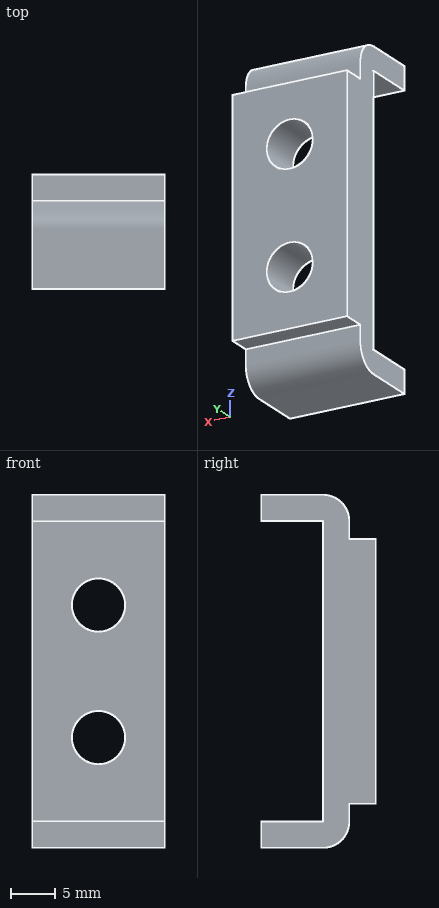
import cadquery as cq

width = 15.0
depth = 13.0
height = 40.0

wall = 3.0
bend_radius = 3.0
pad_height = 30.0
pad_thickness = 3.0

hole_diameter = 6.0
hole_spacing = 15.0

channel_depth = depth - pad_thickness


def make_channel():
    """C-shaped channel, open toward -Y, with rounded outer bends at the back."""
    blank = cq.Workplane("XY").box(width, channel_depth, height, centered=(True, False, True))
    blank = blank.edges("|X and >Y").fillet(bend_radius)
    recess = cq.Workplane("XY").box(
        width, channel_depth - wall, height - 2 * wall, centered=(True, False, True)
    )
    return blank.cut(recess)


def make_pad():
    """Rectangular pad on the back face of the channel."""
    pad = cq.Workplane("XY").box(width, pad_thickness, pad_height, centered=(True, False, True))
    return pad.translate((0, channel_depth, 0))


def make_holes():
    """Two cylinders along Y that pass through the web and the pad."""
    return (
        cq.Workplane("XZ")
        .rarray(0.4, hole_spacing, 1, 2)
        .circle(hole_diameter / 2)
        .extrude(-depth)
    )


result = make_channel().union(make_pad()).cut(make_holes())